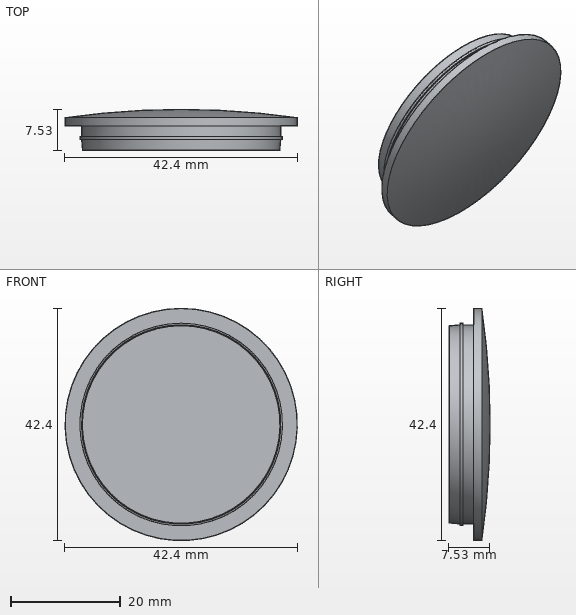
import cadquery as cq
import math

flange_radius = 21.2
neck_radius = 18.2
rib_radius = 18.5
plug_end_radius = 18.0

plug_length = 4.5
flange_thickness = 1.5
dome_height = 1.53
rib_start = 2.0
rib_width = 0.5

rib_end = rib_start + rib_width
flange_back = plug_length + flange_thickness
dome_top = flange_back + dome_height

dome_radius = (flange_radius**2 + dome_height**2) / (2 * dome_height)
dome_center = dome_top - dome_radius
arc_mid_radius = flange_radius / 2
arc_mid_y = dome_center + math.sqrt(dome_radius**2 - arc_mid_radius**2)

half_section = (
    cq.Workplane("YZ")
    .lineTo(0, plug_end_radius)
    .lineTo(rib_start, neck_radius)
    .lineTo(rib_start, rib_radius)
    .lineTo(rib_end, rib_radius)
    .lineTo(rib_end, neck_radius)
    .lineTo(plug_length, neck_radius)
    .lineTo(plug_length, flange_radius)
    .lineTo(flange_back, flange_radius)
    .threePointArc((arc_mid_y, arc_mid_radius), (dome_top, 0))
    .close()
)

result = half_section.revolve(360, (0, 0, 0), (1, 0, 0))